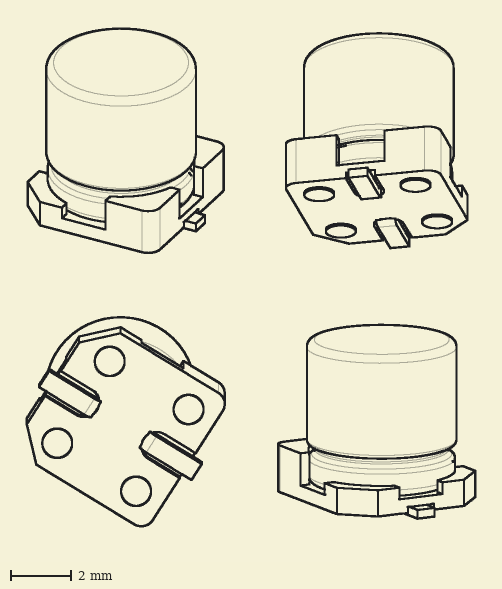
import cadquery as cq
import math

part_height = 5.5
part_length = 6.0

base_size = 5.3
base_bottom = 0.15
floor_height = 0.65
low_corner_top = 1.05
high_corner_top = 1.75
corner_chamfer = 1.0
corner_radius = 0.45
notch_width = 1.64

can_radius = 2.5
can_foot_radius = 2.45
can_edge_radius = 0.25
neck_radius = 2.225
crimp_bottom = 1.45
neck_bottom = 1.75
neck_top = 1.82
crimp_top = 2.1

lead_width = 0.65
lead_thickness = 0.3
lead_bend_radius = 0.3
lead_inner_end = 0.92
recess_width = 1.0
recess_top = 0.35

foot_diameter = 1.0
foot_bottom = 0.08
foot_offset = 1.65
chamfered_side_offset = 1.45


def make_base():
    """Square base with a round seat, raised corners and a notch in each side."""
    half = base_size / 2
    height = high_corner_top - base_bottom
    base = cq.Workplane("XY").workplane(offset=base_bottom).rect(base_size, base_size).extrude(height)
    base = base.edges("|Z and <X").chamfer(corner_chamfer)
    base = base.edges("|Z and >X").fillet(corner_radius)

    low_side = (
        cq.Workplane("XY", origin=(-half / 2, 0, low_corner_top))
        .rect(half, base_size)
        .extrude(part_height)
    )
    seat = cq.Workplane("XY").workplane(offset=floor_height).circle(can_foot_radius).extrude(part_height)
    base = base.cut(low_side).cut(seat)

    for length_x, length_y in ((base_size, notch_width), (notch_width, base_size)):
        notch = (
            cq.Workplane("XY")
            .workplane(offset=floor_height)
            .rect(length_x, length_y)
            .extrude(part_height)
        )
        base = base.cut(notch)
    return base


def make_can():
    """Revolved can with rounded ends and a crimp groove between two S-shaped shoulders."""
    diagonal = can_edge_radius * math.sqrt(0.5)
    foot_flat = can_foot_radius - can_edge_radius
    top_flat = can_radius - can_edge_radius
    foot_arc_center = floor_height + can_edge_radius
    top_arc_center = part_height - can_edge_radius
    lower_middle = ((can_foot_radius + neck_radius) / 2, (crimp_bottom + neck_bottom) / 2)
    upper_middle = ((can_radius + neck_radius) / 2, (neck_top + crimp_top) / 2)
    profile = (
        cq.Workplane("XZ")
        .moveTo(0, floor_height)
        .lineTo(foot_flat, floor_height)
        .threePointArc((foot_flat + diagonal, foot_arc_center - diagonal), (can_foot_radius, foot_arc_center))
        .lineTo(can_foot_radius, crimp_bottom)
        .tangentArcPoint(lower_middle, relative=False)
        .tangentArcPoint((neck_radius, neck_bottom), relative=False)
        .lineTo(neck_radius, neck_top)
        .tangentArcPoint(upper_middle, relative=False)
        .tangentArcPoint((can_radius, crimp_top), relative=False)
        .lineTo(can_radius, top_arc_center)
        .threePointArc((top_flat + diagonal, top_arc_center + diagonal), (top_flat, part_height))
        .lineTo(0, part_height)
        .close()
    )
    return profile.revolve(360, (0, 0, 0), (0, 1, 0))


def make_recess():
    """Round-ended recess under the -X side of the base."""
    arc_center = lead_inner_end + recess_width / 2
    depth = recess_top - base_bottom
    plane = cq.Workplane("XY").workplane(offset=base_bottom)
    straight_length = part_length / 2 - arc_center
    straight = plane.center(-arc_center - straight_length / 2, 0).rect(straight_length, recess_width).extrude(depth)
    round_end = plane.center(-arc_center, 0).circle(recess_width / 2).extrude(depth)
    return straight.union(round_end)


def make_lead():
    """L-shaped lead on the -X side, bent upright into the base."""
    tip = part_length / 2
    lead = (
        cq.Workplane("XZ")
        .moveTo(-tip, 0)
        .lineTo(-lead_inner_end, 0)
        .lineTo(-lead_inner_end, floor_height)
        .lineTo(-lead_inner_end - lead_thickness, floor_height)
        .lineTo(-lead_inner_end - lead_thickness, lead_thickness)
        .lineTo(-tip, lead_thickness)
        .close()
        .extrude(lead_width / 2, both=True)
    )
    return lead.edges("|Y and >X and <Z").fillet(lead_bend_radius)


def make_feet():
    """Four short round standoffs under the base corners."""
    positions = [
        (x, y)
        for x in (-chamfered_side_offset, foot_offset)
        for y in (-foot_offset, foot_offset)
    ]
    return (
        cq.Workplane("XY")
        .workplane(offset=foot_bottom)
        .pushPoints(positions)
        .circle(foot_diameter / 2)
        .extrude(base_bottom - foot_bottom)
    )


recess = make_recess()
lead = make_lead()

body = make_base().union(make_can())
for turn in (0, 180):
    body = body.cut(recess.rotate((0, 0, 0), (0, 0, 1), turn))
    body = body.union(lead.rotate((0, 0, 0), (0, 0, 1), turn))

result = body.union(make_feet())